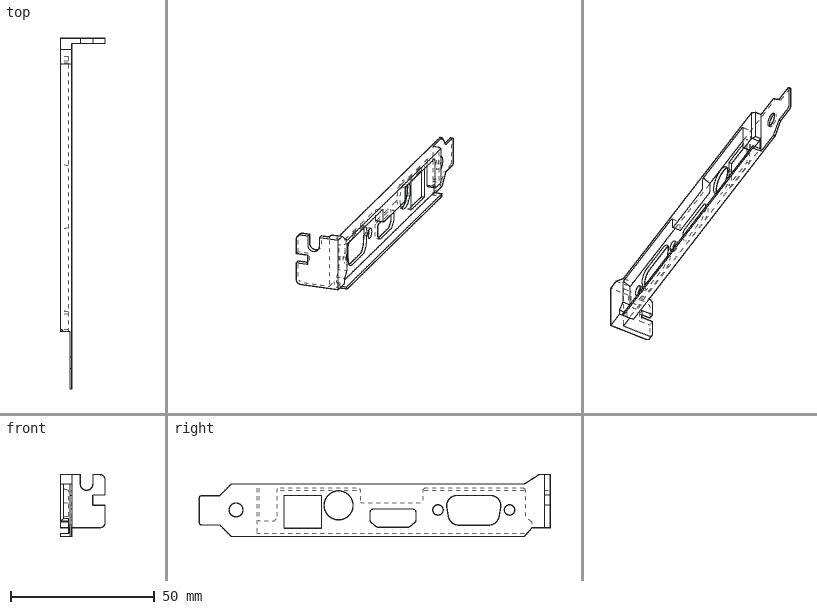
import cadquery as cq

LENGTH = 122.0
WIDTH = 18.3
HEAD_TOP = 21.6
HEAD_BOTTOM = 3.0
DEPTH = 4.0
EAR_REACH = 15.6

PLATE_THICKNESS = 1.1
TAB_THICKNESS = 0.7
FLANGE_THICKNESS = 1.1
PLATE_END = 20.0
HEAD_EDGE = 115.7
HEAD_SLOPE_END = 113.0
HEAD_SLOPE_START = 118.1

TAB_SHOULDER = 11.1
TAB_NECK = 7.2
TAB_HALF_WIDTH = 5.1
TAB_CORNER_RADIUS = 0.9
TAB_HOLE_DIAMETER = 4.8
TAB_HOLE_Y = 12.8

PAD_BOTTOM = 5.5
PAD_CHAMFER_Y = 0.9
PAD_CHAMFER_X = 1.1
PAD_CORNER = 0.7
RECESS_TOP = 16.8
RECESS_TOP_SLOPE = 0.7
RECESS_START = 27.0
RECESS_END = 113.4
BRIDGE_START = 56.0
BRIDGE_END = 77.7
BRIDGE_BOTTOM = 11.7
HEAD_JOG_BOTTOM = 5.0
HEAD_JOG_TOP = 7.0
RECESS_RADIUS = 0.9

CONNECTOR_Z = 9.3
VGA_Y = 95.4
VGA_TOP_HALF = 10.0
VGA_BOTTOM_HALF = 8.3
VGA_HALF_HEIGHT = 5.1
VGA_RADIUS = 3.5
SCREW_OFFSET = 12.5
SCREW_DIAMETER = 3.5
HDMI_Y = 67.4
HDMI_HALF = 7.9
HDMI_BOTTOM_HALF = 5.6
HDMI_TOP = 9.5
HDMI_SHOULDER = 5.2
HDMI_BOTTOM = 3.3
HDMI_RADIUS = 1.0
ROUND_Y = 48.5
ROUND_Z = 10.9
ROUND_DIAMETER = 10.0
WINDOW_START = 29.5
WINDOW_END = 42.5
WINDOW_BOTTOM = 2.9
WINDOW_TOP = 14.3

EAR_THICKNESS = 2.0
EAR_RADIUS = 1.8
SLOT_X = 9.2
SLOT_WIDTH = 4.3
SLOT_BOTTOM = 16.1
NOTCH_X = 11.3
NOTCH_BOTTOM = 11.0
NOTCH_TOP = 14.4

PLATE_FRONT = DEPTH - PLATE_THICKNESS
TAB_FRONT = DEPTH - TAB_THICKNESS


def slab(points, x_start, x_end):
    """Extrude a (Y, Z) outline between two X positions."""
    return cq.Workplane("YZ", origin=(x_start, 0, 0)).polyline(points).close().extrude(x_end - x_start)


def cylinder(y, z, diameter):
    """Cutter along X through the full depth."""
    return cq.Workplane("YZ").center(y, z).circle(diameter / 2).extrude(DEPTH)


def make_plate():
    middle = WIDTH / 2
    tab = slab(
        [
            (PLATE_END, 0),
            (TAB_SHOULDER, 0),
            (TAB_NECK, middle - TAB_HALF_WIDTH),
            (0, middle - TAB_HALF_WIDTH),
            (0, middle + TAB_HALF_WIDTH),
            (TAB_NECK, middle + TAB_HALF_WIDTH),
            (TAB_SHOULDER, WIDTH),
            (PLATE_END, WIDTH),
        ],
        TAB_FRONT,
        DEPTH,
    )
    tab = tab.edges("|X and <Y").fillet(TAB_CORNER_RADIUS)
    outline = [
        (PLATE_END, 0),
        (HEAD_SLOPE_END, 0),
        (HEAD_EDGE, HEAD_BOTTOM),
        (HEAD_EDGE, WIDTH),
        (PLATE_END, WIDTH),
    ]
    plate = slab(outline, PLATE_FRONT, DEPTH)
    flange = slab(outline, 0, DEPTH).intersect(
        cq.Workplane("XY").box(DEPTH, LENGTH, FLANGE_THICKNESS, centered=False)
    )
    return tab.union(plate).union(flange)


def make_recess():
    """Stepped recess whose upper wall leans inward towards the plate."""
    cutter = slab(
        [
            (RECESS_START, PAD_BOTTOM),
            (RECESS_START, RECESS_TOP),
            (BRIDGE_START, RECESS_TOP),
            (BRIDGE_START, BRIDGE_BOTTOM),
            (BRIDGE_END, BRIDGE_BOTTOM),
            (BRIDGE_END, RECESS_TOP),
            (RECESS_END, RECESS_TOP),
            (RECESS_END, HEAD_JOG_TOP),
            (HEAD_EDGE, HEAD_JOG_BOTTOM),
            (HEAD_EDGE, 0),
            (RECESS_START, 0),
        ],
        0,
        PLATE_FRONT,
    )
    top_corners = cutter.edges("|X").edges(">Z")
    bridge_corners = cutter.edges("|X").edges(
        cq.selectors.BoxSelector(
            (-DEPTH, BRIDGE_START - RECESS_RADIUS, BRIDGE_BOTTOM - RECESS_RADIUS),
            (DEPTH, BRIDGE_END + RECESS_RADIUS, BRIDGE_BOTTOM + RECESS_RADIUS),
        )
    )
    cutter = cutter.newObject(top_corners.vals() + bridge_corners.vals()).fillet(RECESS_RADIUS)
    leaning_wall = (
        cq.Workplane("XZ")
        .polyline([
            (0, RECESS_TOP),
            (PLATE_FRONT, RECESS_TOP),
            (PLATE_FRONT, RECESS_TOP - RECESS_TOP_SLOPE),
        ])
        .close()
        .extrude(-LENGTH)
    )
    return cutter.cut(leaning_wall)


def make_pad():
    pad = slab(
        [
            (PLATE_END, PAD_BOTTOM + PAD_CORNER),
            (PLATE_END + PAD_CORNER, PAD_BOTTOM),
            (RECESS_START - RECESS_RADIUS, PAD_BOTTOM),
            (RECESS_START, PAD_BOTTOM + RECESS_RADIUS),
            (RECESS_START, HEAD_BOTTOM),
            (LENGTH, HEAD_BOTTOM),
            (LENGTH, HEAD_TOP),
            (HEAD_SLOPE_START, HEAD_TOP),
            (HEAD_SLOPE_END, WIDTH),
            (PLATE_END, WIDTH),
        ],
        0,
        DEPTH,
    )
    end_bevel = (
        cq.Workplane("XY")
        .polyline([
            (0, PLATE_END),
            (PAD_CHAMFER_X, PLATE_END),
            (0, PLATE_END + PAD_CHAMFER_Y),
        ])
        .close()
        .extrude(WIDTH)
    )
    return pad.cut(end_bevel).cut(make_recess())


def make_ear():
    ear = cq.Workplane("XY").box(EAR_REACH, EAR_THICKNESS, HEAD_TOP - HEAD_BOTTOM, centered=False)
    ear = ear.translate((0, LENGTH - EAR_THICKNESS, HEAD_BOTTOM))
    ear = ear.edges("|Y and >X").fillet(EAR_RADIUS)
    slot_radius = SLOT_WIDTH / 2
    slot = (
        cq.Workplane("XZ")
        .moveTo(SLOT_X - slot_radius, HEAD_TOP)
        .lineTo(SLOT_X - slot_radius, SLOT_BOTTOM + slot_radius)
        .threePointArc((SLOT_X, SLOT_BOTTOM), (SLOT_X + slot_radius, SLOT_BOTTOM + slot_radius))
        .lineTo(SLOT_X + slot_radius, HEAD_TOP)
        .close()
        .extrude(-LENGTH)
    )
    notch = cq.Workplane("XY").box(EAR_REACH - NOTCH_X, LENGTH, NOTCH_TOP - NOTCH_BOTTOM, centered=False)
    return ear.cut(slot).cut(notch.translate((NOTCH_X, 0, NOTCH_BOTTOM)))


def make_openings():
    vga = slab(
        [
            (VGA_Y - VGA_TOP_HALF, WIDTH / 2 + VGA_HALF_HEIGHT),
            (VGA_Y + VGA_TOP_HALF, WIDTH / 2 + VGA_HALF_HEIGHT),
            (VGA_Y + VGA_BOTTOM_HALF, WIDTH / 2 - VGA_HALF_HEIGHT),
            (VGA_Y - VGA_BOTTOM_HALF, WIDTH / 2 - VGA_HALF_HEIGHT),
        ],
        0,
        DEPTH,
    ).edges("|X").fillet(VGA_RADIUS)
    hdmi = slab(
        [
            (HDMI_Y - HDMI_HALF, HDMI_TOP),
            (HDMI_Y + HDMI_HALF, HDMI_TOP),
            (HDMI_Y + HDMI_HALF, HDMI_SHOULDER),
            (HDMI_Y + HDMI_BOTTOM_HALF, HDMI_BOTTOM),
            (HDMI_Y - HDMI_BOTTOM_HALF, HDMI_BOTTOM),
            (HDMI_Y - HDMI_HALF, HDMI_SHOULDER),
        ],
        0,
        DEPTH,
    ).edges("|X").fillet(HDMI_RADIUS)
    window = cq.Workplane("XY").box(
        DEPTH, WINDOW_END - WINDOW_START, WINDOW_TOP - WINDOW_BOTTOM, centered=False
    ).translate((0, WINDOW_START, WINDOW_BOTTOM))
    openings = vga.union(hdmi).union(window)
    for side in (-1, 1):
        openings = openings.union(cylinder(VGA_Y + side * SCREW_OFFSET, CONNECTOR_Z, SCREW_DIAMETER))
    openings = openings.union(cylinder(ROUND_Y, ROUND_Z, ROUND_DIAMETER))
    return openings.union(cylinder(TAB_HOLE_Y, CONNECTOR_Z, TAB_HOLE_DIAMETER))


result = make_plate().union(make_pad()).union(make_ear()).cut(make_openings())